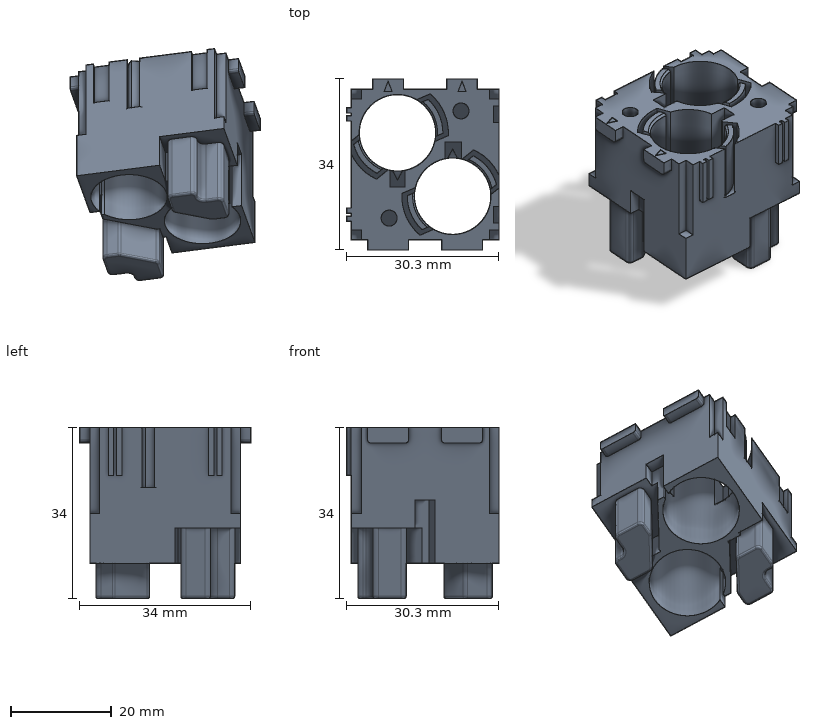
import cadquery as cq
import math

TOP = 34.0
BODY_BOTTOM = 7.0
RECESS_TOP = 14.05
SHOULDER = 16.93
SLOT_TOP = 19.6
LATCH_FLOOR = 22.05
RIB_BOTTOM = 24.48
TAB_BOTTOM = 30.95

BODY_X = 29.38
BODY_Y = 29.92
HALF_X = BODY_X / 2
HALF_Y = BODY_Y / 2
NOTCH_LEFT = 2.07
NOTCH_RIGHT = 1.95
NOTCH_Y = 1.9

TAB_CENTRE_X = 7.35
TAB_REACH = 2.05
FRONT_TAB_WIDTH = 8.15
REAR_TAB_WIDTH = 6.12
TAB_RADIUS = 0.6
ARROW_WIDTH = 1.55
ARROW_LENGTH = 2.05
ARROW_BASE_Y = 14.52
MARK_DEPTH = 0.1

RIB_REACH = 0.92
RIB_WIDTH = 1.05
RIB_PITCH = 1.6
RIB_PAIR_Y = 9.95
GROOVE_DEPTH = 1.05
GROOVE_WIDTH = 3.23

BORE_X = -5.47
BORE_Y = 6.3
BORE_RADIUS = 7.58

LATCH_ANGLES = (23.5, 219.0)
POCKET_RADIUS = 10.1
POCKET_WIDTH = 9.05
LATCH_RADIUS = 9.0
LATCH_WIDTH = 7.35
LATCH_TIP_RADIUS = 7.95
LATCH_LEAD_IN = 0.5

KEY_END_Y = 4.45
KEY_1_X = (-6.95, -3.98)
KEY_2_X = (3.98, 7.28)
KEY_ARROW_WIDTH = 1.9
KEY_ARROW_LENGTH = 1.8

PIN_X = 7.15
PIN_Y = 10.65
PIN_RADIUS = 1.58
PIN_DEPTH = 6.8

SLOT_WIDTH = 4.0
SLOT_STEP_X = 0.8
SLOT_FLOOR_Y = -12.85

BEVEL_SLOPE = math.tan(math.radians(60))
RECESS_RIGHT = -0.65
RECESS_BACK = -1.9
RECESS_STEP_X = -9.18
RECESS_STEP_Y = -2.55
POST_LEFT = -13.35
POST_RIGHT = -3.75
POST_FRONT = -13.8
POST_BACK = -3.1
POST_BEVEL_X = 4.1
POST_NOTCH_X = -10.35
POST_NOTCH_Y = -8.98
POST_RADIUS = 1.05
POST_NOTCH_RADIUS = 1.43
POST_TIP_RADIUS = 0.48


def box(x_range, y_range, z_range):
    """Box spanning the given ranges."""
    size = [high - low for low, high in (x_range, y_range, z_range)]
    return cq.Workplane("XY").box(*size, centered=False).translate((x_range[0], y_range[0], z_range[0]))


def cylinder(x, y, radius, bottom, top):
    return cq.Workplane("XY", origin=(x, y, bottom)).circle(radius).extrude(top - bottom)


def half_turn(shape):
    """Copy of a shape turned 180 degrees about the Z axis."""
    return shape.rotate((0, 0, 0), (0, 0, 1), 180)


def arrow(x, base_y, tip_y, width, level):
    """Shallow triangular engraving below the given level."""
    points = [(x - width / 2, base_y), (x + width / 2, base_y), (x, tip_y)]
    return cq.Workplane("XY", origin=(0, 0, level)).polyline(points).close().extrude(-MARK_DEPTH)


def tab(x, side, width):
    """Tab with rounded lower corners; side is -1 for the front and 1 for the rear."""
    block = box((x - width / 2, x + width / 2), (0, HALF_Y + TAB_REACH), (TAB_BOTTOM, TOP))
    block = block.edges("|Y and <Z").fillet(TAB_RADIUS)
    block = block.intersect(box((-BODY_X, BODY_X), (HALF_Y - NOTCH_Y, HALF_Y + TAB_REACH), (0, TOP)))
    return block if side > 0 else block.mirror("XZ")


def sector(inner, outer, width, bottom):
    """Band of constant width along +X between two radii, around the Z axis."""
    ring = cylinder(0, 0, outer, bottom, TOP)
    if inner:
        ring = ring.cut(cylinder(0, 0, inner, bottom, TOP))
    return ring.intersect(box((0, outer), (-width / 2, width / 2), (bottom, TOP)))


def latch():
    """Spring latch with a tapered lead-in at its top inner edge."""
    blade = sector(BORE_RADIUS, LATCH_RADIUS, LATCH_WIDTH, LATCH_FLOOR)
    lead_in = (
        cq.Workplane("XY", origin=(0, 0, TOP))
        .circle(LATCH_TIP_RADIUS)
        .workplane(offset=-LATCH_LEAD_IN)
        .circle(BORE_RADIUS)
        .loft()
    )
    return blade.cut(lead_in)


def at_latch(shape, angle):
    """Turn a shape to its latch direction and move it to bore 1."""
    return shape.rotate((0, 0, 0), (0, 0, 1), angle).translate((BORE_X, BORE_Y, 0))


def recess():
    """Corner recess whose bevelled wall leaves a skin around bore 2."""
    bevel_end_x = RECESS_RIGHT - (POST_BACK - SLOT_FLOOR_Y) / BEVEL_SLOPE
    outline = [
        (-HALF_X, -HALF_Y),
        (RECESS_RIGHT, -HALF_Y),
        (RECESS_RIGHT, SLOT_FLOOR_Y),
        (bevel_end_x, POST_BACK),
        (bevel_end_x, RECESS_STEP_Y),
        (RECESS_STEP_X, RECESS_STEP_Y),
        (RECESS_STEP_X, RECESS_BACK),
        (-HALF_X, RECESS_BACK),
    ]
    plane = cq.Workplane("XY", origin=(0, 0, BODY_BOTTOM))
    return plane.polyline(outline).close().extrude(RECESS_TOP - BODY_BOTTOM)


def post():
    """Post with a notched outer corner, a bevelled inner corner and rounded edges."""
    outline = [
        (POST_NOTCH_X, POST_FRONT),
        (POST_RIGHT, POST_FRONT),
        (POST_RIGHT, POST_BACK - POST_BEVEL_X * BEVEL_SLOPE),
        (POST_RIGHT - POST_BEVEL_X, POST_BACK),
        (POST_LEFT, POST_BACK),
        (POST_LEFT, POST_NOTCH_Y),
        (POST_NOTCH_X, POST_NOTCH_Y),
    ]
    shape = cq.Workplane("XY").polyline(outline).close().extrude(RECESS_TOP)
    notch_corner = cq.selectors.NearestToPointSelector((POST_NOTCH_X, POST_NOTCH_Y, RECESS_TOP / 2))
    outer_corners = cq.selectors.StringSyntaxSelector("|Z") - notch_corner
    shape = shape.edges(outer_corners).fillet(POST_RADIUS)
    shape = shape.edges(notch_corner).fillet(POST_NOTCH_RADIUS)
    return shape.faces("<Z").edges().fillet(POST_TIP_RADIUS)


body = box((-HALF_X, HALF_X), (-HALF_Y, HALF_Y), (BODY_BOTTOM, TOP))
for notch_x in ((-HALF_X, -HALF_X + NOTCH_LEFT), (HALF_X - NOTCH_RIGHT, HALF_X)):
    for notch_y in ((-HALF_Y, -HALF_Y + NOTCH_Y), (HALF_Y - NOTCH_Y, HALF_Y)):
        body = body.cut(box(notch_x, notch_y, (SHOULDER, TOP)))

for tab_x in (-TAB_CENTRE_X, TAB_CENTRE_X):
    body = body.union(tab(tab_x, -1, FRONT_TAB_WIDTH))
    body = body.union(tab(tab_x, 1, REAR_TAB_WIDTH))
    body = body.cut(arrow(tab_x, ARROW_BASE_Y, ARROW_BASE_Y + ARROW_LENGTH, ARROW_WIDTH, TOP))

for pair_y in (-RIB_PAIR_Y, RIB_PAIR_Y):
    for rib_y in (pair_y - RIB_PITCH / 2, pair_y + RIB_PITCH / 2):
        rib_span = (rib_y - RIB_WIDTH / 2, rib_y + RIB_WIDTH / 2)
        body = body.union(box((-HALF_X - RIB_REACH, -HALF_X), rib_span, (RIB_BOTTOM, TOP)))
    groove_span = (pair_y - GROOVE_WIDTH / 2, pair_y + GROOVE_WIDTH / 2)
    body = body.cut(box((HALF_X - GROOVE_DEPTH, HALF_X), groove_span, (RIB_BOTTOM, TOP)))

cuts = [
    cylinder(BORE_X, BORE_Y, BORE_RADIUS, BODY_BOTTOM, TOP),
    cylinder(PIN_X, PIN_Y, PIN_RADIUS, TOP - PIN_DEPTH, TOP),
    box((-SLOT_WIDTH / 2, SLOT_WIDTH / 2), (-HALF_Y, SLOT_FLOOR_Y), (BODY_BOTTOM, SLOT_TOP)),
    box((SLOT_STEP_X, SLOT_WIDTH / 2), (-HALF_Y, -BORE_Y), (BODY_BOTTOM, SLOT_TOP)),
    recess(),
]
for angle in LATCH_ANGLES:
    cuts.append(at_latch(sector(0, POCKET_RADIUS, POCKET_WIDTH, LATCH_FLOOR), angle))
for cut in cuts:
    body = body.cut(cut).cut(half_turn(cut))

for side, (low, high), bore_x, bore_y in ((-1, KEY_1_X, BORE_X, BORE_Y), (1, KEY_2_X, -BORE_X, -BORE_Y)):
    rim_y = bore_y + side * BORE_RADIUS
    key_span = sorted((bore_y, side * KEY_END_Y))
    body = body.cut(box((low, high), key_span, (LATCH_FLOOR, TOP)))
    body = body.cut(arrow(bore_x, rim_y, rim_y + side * KEY_ARROW_LENGTH, KEY_ARROW_WIDTH, LATCH_FLOOR))

additions = [at_latch(latch(), angle) for angle in LATCH_ANGLES] + [post()]
for addition in additions:
    body = body.union(addition).union(half_turn(addition))

result = body